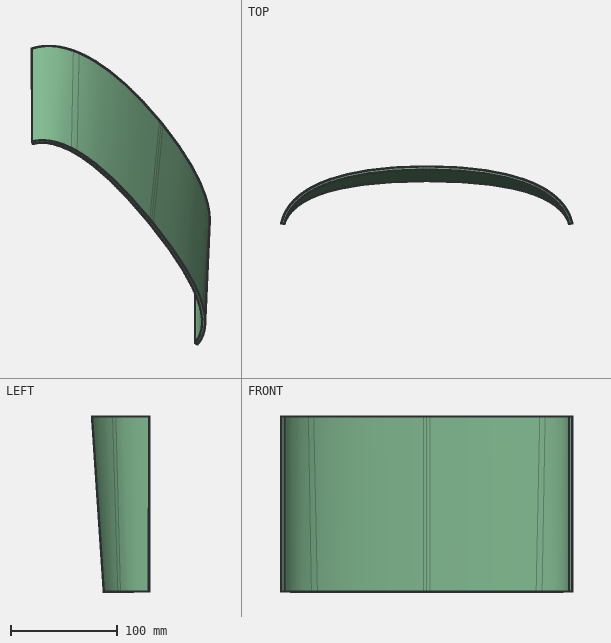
import cadquery as cq
import math

thickness = 3.0
height = 164.0
half_width = 133.25

top_rise = 51.0
top_crown_pull = 72.0
top_end_pull = 36.0
top_end_angle = math.radians(13)

bottom_rise = 40.0
bottom_crown_pull = 72.0
bottom_end_pull = 30.5
bottom_end_angle = math.radians(18)

top_seams = (3.0, 105.7, 110.7)
bottom_seams = (3.0, 102.3, 107.9)

cutter_reach = 2 * thickness
cutter_overrun = 2.0

seam_search_precision = 1e-9


def arch_handles(rise, crown_pull, end_pull, end_angle):
    """Control points of half an inner arch, from the crown to its end."""
    end_handle = (half_width - end_pull * math.sin(end_angle), end_pull * math.cos(end_angle))
    return [(0, rise), (crown_pull, rise), end_handle, (half_width, 0)]


def between(start, end, share):
    """Point at the given share of the way from start to end."""
    return tuple(a + (b - a) * share for a, b in zip(start, end))


def curve_start(handles, share):
    """Control points of a Bezier curve's first part, cut off at the given parameter."""
    first = [handles[0]]
    level = handles
    while len(level) > 1:
        level = [between(a, b, share) for a, b in zip(level, level[1:])]
        first.append(level[0])
    return first


def share_at_x(handles, x):
    """Curve parameter where a Bezier curve with growing X reaches x, by bisection."""
    low, high = 0.0, 1.0
    while high - low > seam_search_precision:
        middle = (low + high) / 2
        x_middle, _ = curve_start(handles, middle)[-1]
        if x_middle < x:
            low = middle
        else:
            high = middle
    return low


def curve_edge(handles, z):
    """Half an arch as one edge at height z."""
    return cq.Edge.makeBezier([cq.Vector(x, y, z) for x, y in handles])


def seam_point(handles, x, z):
    """Point on the inner arch at x, and the horizontal direction straight through the wall there."""
    before_seam = curve_start(handles, share_at_x(handles, x))
    (x_before, y_before), (x_seam, y_seam) = before_seam[-2:]
    through_wall = cq.Vector(y_before - y_seam, x_seam - x_before, 0).normalized()
    return cq.Vector(x_seam, y_seam, z), through_wall


def seam_cutter(bottom_x, top_x):
    """Face that crosses the wall along the seam, reaching past the wall on every side."""
    low, low_through = seam_point(bottom_arch, bottom_x, 0)
    high, high_through = seam_point(top_arch, top_x, height)
    overrun = (high - low).normalized() * cutter_overrun
    low = low - overrun
    high = high + overrun
    low_edge = cq.Edge.makeLine(low - low_through * cutter_reach, low + low_through * cutter_reach)
    high_edge = cq.Edge.makeLine(high - high_through * cutter_reach, high + high_through * cutter_reach)
    return cq.Face.makeRuledSurface(low_edge, high_edge)


def half_shell():
    """Ruled inner face between the two half arches, thickened away from the hollow side."""
    inner_face = cq.Face.makeRuledSurface(curve_edge(bottom_arch, 0), curve_edge(top_arch, height))
    outward = thickness if inner_face.normalAt().y > 0 else -thickness
    return inner_face.thicken(outward)


top_arch = arch_handles(top_rise, top_crown_pull, top_end_pull, top_end_angle)
bottom_arch = arch_handles(bottom_rise, bottom_crown_pull, bottom_end_pull, bottom_end_angle)

cutters = [seam_cutter(bottom_x, top_x) for bottom_x, top_x in zip(bottom_seams, top_seams)]
half_panels = half_shell().split(*cutters).Solids()
other_panels = [piece.mirror("YZ") for piece in half_panels]

shell = half_panels[0].fuse(*half_panels[1:], *other_panels)
result = cq.Workplane(obj=shell.Solids()[0])